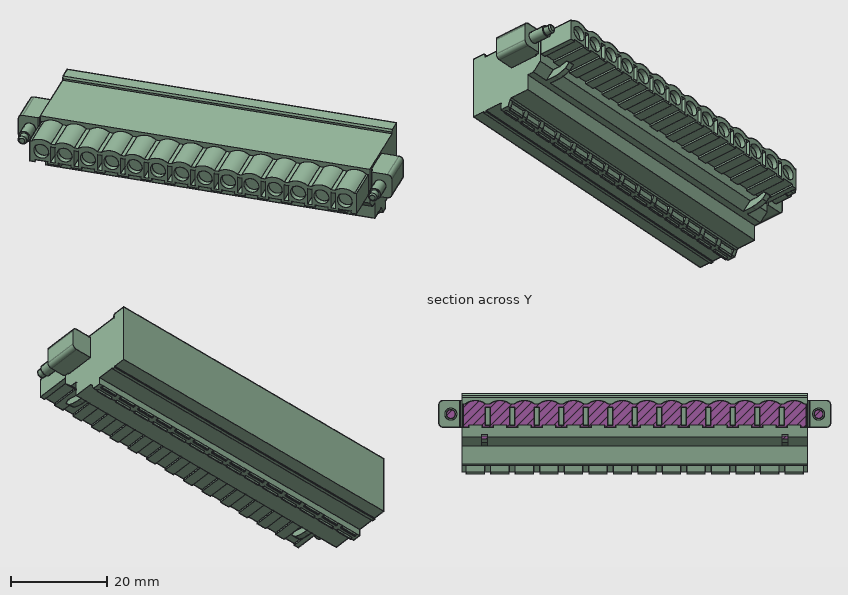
import cadquery as cq


pole_count = 14
sleeve_row_width = 71.1
pitch = sleeve_row_width / pole_count
overall_width = 81.3
body_width = 71.7

body_depth = 18.4
body_height = 14.6
deck_height = 13.7
rim_depth = 3.2
rim_chamfer_depth = 0.25
rim_chamfer_height = 0.5
front_wall_bottom = 5.6
overhang_height = 3.7
overhang_slope_depth = front_wall_bottom - overhang_height
lower_front = 3.4

rib_y = 15.2
rib_depth = 0.65
rib_height = 0.3
foot_back = 10.8
foot_front = 8.0
foot_flare = 0.3
foot_height = 1.7
tooth_height = 2.1
tooth_width = 3.8
tooth_front = 8.9
back_tooth_depth = 0.7
front_tooth_depth = 0.5
tooth_taper = 0.2
recess_mouth = 4.15

sleeve_length = 8.2
sleeve_bottom = 7.55
sleeve_shoulder = 12.4
sleeve_crown_width = 4.2
sleeve_crown_top = 13.2
contact_z = 10.3
contact_diameter = 3.25
contact_depth = 1.2
notch_width = 2.8
notch_height = 0.5
gap_width = 1.0
gap_bottom = 8.05
gap_top = 11.7

flange_depth = 7.9
flange_bottom = 7.55
flange_top = 13.2
flange_round = 1.0
relief_depth = 1.05
relief_width = 0.25
relief_chamfer = 0.25
screw_x = 38.1
screw_diameter = 2.5
screw_length = 3.65
screw_tip_diameter = 1.9
screw_tip_length = 1.7
screw_tip_chamfer = 0.3

hook_x = 31.1
hook_width = 1.3
hook_neck_length = 1.8
hook_crest_y = 3.7
hook_crest_z = 6.1
hook_tip_y = 4.5
hook_tip_z = 5.5
hook_chin_y = 3.4
hook_chin_z = 4.5
hook_belly = (-2.0, 4.0)
hook_belly_end_y = 0.6

half_body = body_width / 2
pole_positions = [(i - (pole_count - 1) / 2) * pitch for i in range(pole_count)]
joint_positions = [x + pitch / 2 for x in pole_positions[:-1]]


def extrude_along_x(outline, width, x_middle=0.0):
    """Closed (Y, Z) outline extruded along X, centred on x_middle."""
    return (
        cq.Workplane("YZ", origin=(x_middle - width / 2, 0, 0))
        .polyline(outline)
        .close()
        .extrude(width)
    )


def box(x_middle, width, y_start, y_end, z_start, z_end):
    """Block centred on x_middle and bounded by the given Y and Z limits."""
    corner = (x_middle - width / 2, y_start, z_start)
    block = cq.Workplane("XY").box(width, y_end - y_start, z_end - z_start, centered=False)
    return block.translate(corner)


def make_body():
    """Constant section with a raised rear rim, a sloped overhang and a low rib underneath."""
    rim_front = body_depth - rim_depth
    outline = [
        (body_depth, 0),
        (body_depth, body_height),
        (rim_front + rim_chamfer_depth, body_height),
        (rim_front, body_height - rim_chamfer_height),
        (rim_front, deck_height),
        (0, deck_height),
        (0, front_wall_bottom),
        (overhang_slope_depth, overhang_height),
        (lower_front, overhang_height),
        (lower_front, 0),
    ]
    rib = box(0, body_width, rib_y - rib_depth / 2, rib_y + rib_depth / 2, -rib_height, 0)
    return extrude_along_x(outline, body_width).union(rib)


def make_foot_strip():
    """Full-width strip with a sloping front, with a recess and two teeth at each pole."""
    strip = extrude_along_x(
        [
            (foot_back, 0),
            (foot_back, -foot_height),
            (tooth_front, -foot_height),
            (foot_front + foot_flare, -foot_flare),
            (foot_front, 0),
        ],
        body_width,
    )
    for x in pole_positions:
        recess = (
            cq.Workplane("XY", origin=(x, 0, -foot_height))
            .moveTo(-tooth_width / 2, tooth_front)
            .lineTo(-recess_mouth / 2, foot_front)
            .lineTo(recess_mouth / 2, foot_front)
            .lineTo(tooth_width / 2, tooth_front)
            .close()
            .extrude(foot_height - foot_flare)
        )
        strip = strip.cut(recess)
        for front, back in (
            (foot_back - back_tooth_depth, foot_back),
            (tooth_front, tooth_front + front_tooth_depth),
        ):
            tooth_outline = [
                (front, -foot_height),
                (front + tooth_taper, -tooth_height),
                (back - tooth_taper, -tooth_height),
                (back, -foot_height),
            ]
            strip = strip.union(extrude_along_x(tooth_outline, tooth_width, x))
    return strip


def make_sleeve_row():
    """Row of crowned sleeves, each with a contact hole and a bottom notch, parted by closed gaps."""
    row = box(0, sleeve_row_width, -sleeve_length, 0, sleeve_bottom, sleeve_shoulder)
    for x in pole_positions:
        crown = (
            cq.Workplane("XZ")
            .moveTo(x - sleeve_crown_width / 2, sleeve_shoulder)
            .threePointArc((x, sleeve_crown_top), (x + sleeve_crown_width / 2, sleeve_shoulder))
            .close()
            .extrude(sleeve_length)
        )
        row = row.union(crown)
        contact_hole = (
            cq.Workplane("XZ", origin=(x, contact_depth - sleeve_length, contact_z))
            .circle(contact_diameter / 2)
            .extrude(contact_depth)
        )
        notch = box(x, notch_width, -sleeve_length, 0, sleeve_bottom, sleeve_bottom + notch_height)
        row = row.cut(contact_hole).cut(notch)
    for x in joint_positions:
        row = row.cut(box(x, gap_width, -sleeve_length, 0, gap_bottom, gap_top))
    return row


def make_right_flange():
    """Flange and screw on the +X end of the body."""
    width = overall_width / 2 - half_body
    flange = box(half_body + width / 2, width, 0, flange_depth, flange_bottom, flange_top)
    flange = flange.faces(">X").edges("|Y").fillet(flange_round)
    relief = (
        cq.Workplane("XY", origin=(0, 0, flange_bottom))
        .moveTo(half_body, 0)
        .lineTo(half_body, relief_depth)
        .lineTo(half_body + relief_width, relief_depth)
        .lineTo(half_body + relief_width, relief_chamfer)
        .lineTo(half_body + relief_width + relief_chamfer, 0)
        .close()
        .extrude(flange_top - flange_bottom)
    )
    screw = (
        cq.Workplane("XZ", origin=(screw_x, 0, contact_z))
        .circle(screw_diameter / 2)
        .extrude(screw_length)
        .faces("<Y")
        .workplane()
        .circle(screw_tip_diameter / 2)
        .extrude(screw_tip_length)
        .faces("<Y")
        .chamfer(screw_tip_chamfer)
    )
    return flange.cut(relief).union(screw)


def make_hook(x):
    """Snap hook growing out of the sloped face below the front wall, with a raised, pointed tip."""
    return (
        cq.Workplane("YZ", origin=(x - hook_width / 2, 0, 0))
        .moveTo(overhang_slope_depth, overhang_height)
        .lineTo(overhang_slope_depth, front_wall_bottom)
        .lineTo(-hook_neck_length, front_wall_bottom)
        .lineTo(-hook_crest_y, hook_crest_z)
        .lineTo(-hook_tip_y, hook_tip_z)
        .lineTo(-hook_chin_y, hook_chin_z)
        .threePointArc(hook_belly, (-hook_belly_end_y, overhang_height))
        .close()
        .extrude(hook_width)
    )


flange = make_right_flange()
result = (
    make_body()
    .union(make_foot_strip())
    .union(make_sleeve_row())
    .union(flange)
    .union(flange.mirror("YZ"))
    .union(make_hook(-hook_x))
    .union(make_hook(hook_x))
)